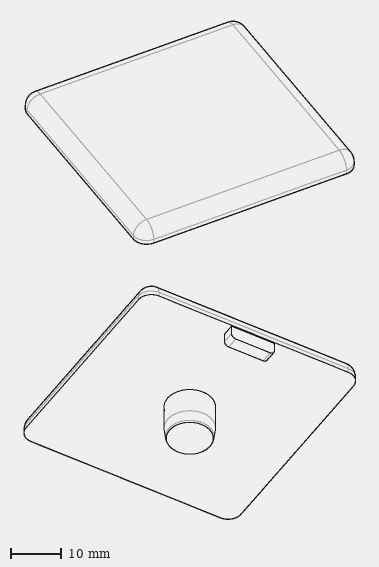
import cadquery as cq

plate_side = 50.0
plate_thickness = 4.0
edge_radius = 3.0

post_diameter = 10.3
post_length = 8.5
straight_length = 5.75
tip_diameter = 9.7
tip_chamfer_height = 0.4
end_diameter = 9.4

tab_inset = 0.25
tab_thickness = edge_radius - tab_inset
tab_width = 10.0
tab_height = 3.0
tab_corner_radius = 1.0


def make_plate():
    """Square plate with rounded vertical corners and a rounded top rim."""
    plate = cq.Workplane("XY").box(plate_side, plate_side, plate_thickness, centered=(True, True, False))
    return plate.edges("|Z or >Z").fillet(edge_radius)


def make_post():
    """Revolved post with a tapered tip and a small lead-in at its end."""
    profile = (
        cq.Workplane("XZ")
        .lineTo(post_diameter / 2, 0)
        .lineTo(post_diameter / 2, -straight_length)
        .lineTo(tip_diameter / 2, -post_length + tip_chamfer_height)
        .lineTo(end_diameter / 2, -post_length)
        .lineTo(0, -post_length)
        .close()
    )
    return profile.revolve(360, (0, 0, 0), (0, 1, 0))


def make_tab():
    """Flat tab with its two lower corners rounded."""
    tab_center_x = -plate_side / 2 + tab_inset + tab_thickness / 2
    return (
        cq.Workplane("XY")
        .box(tab_thickness, tab_width, tab_height, centered=(True, True, False))
        .edges("|X and <Z")
        .fillet(tab_corner_radius)
        .translate((tab_center_x, 0, -tab_height))
    )


result = make_plate().union(make_post()).union(make_tab())